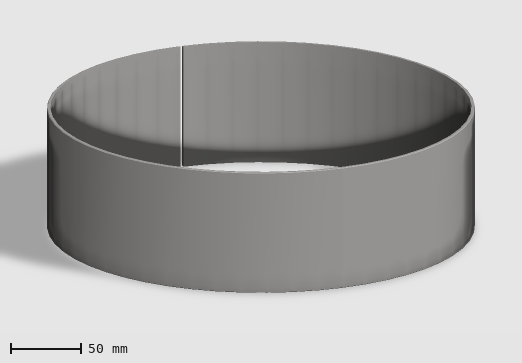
import cadquery as cq

outer_diameter = 305.0
wall = 2.5
height = 90.0
slit_width = 2.0
edge_chamfer = 0.45

outer_radius = outer_diameter / 2
inner_radius = outer_radius - wall
slit_cut_length = 4 * wall

disc = cq.Workplane("XY").circle(outer_radius).extrude(height)
disc = disc.faces("<Z or >Z").edges().chamfer(edge_chamfer)

bore = cq.Workplane("XY").circle(inner_radius).extrude(height)

slit = (
    cq.Workplane("XY")
    .center(-outer_radius, slit_width / 2)
    .rect(slit_cut_length, slit_width)
    .extrude(height)
)

result = disc.cut(bore).cut(slit)